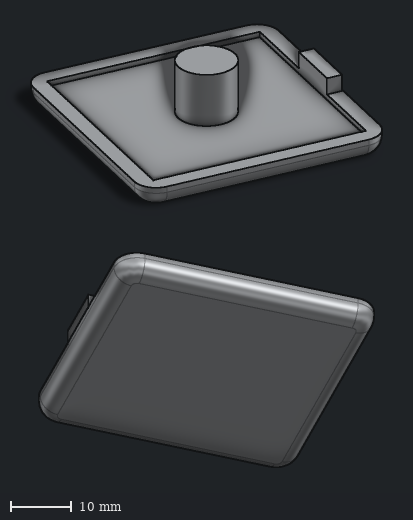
import cadquery as cq

plate_side = 45.0
plate_thickness = 4.0
corner_radius = 4.0
straight_edge_height = 1.0
lower_edge_radius = plate_thickness - straight_edge_height

rim_width = 3.0
recess_side = plate_side - 2 * rim_width
recess_depth = 1.0
recess_floor_z = plate_thickness - recess_depth

overall_height = 12.5
post_diameter = 10.4
post_height = overall_height - recess_floor_z

tab_width = post_diameter
tab_height = 3.0
tab_setback = 0.2
tab_depth = rim_width - tab_setback
tab_center_y = recess_side / 2 + tab_depth / 2


def make_plate():
    blank = (
        cq.Workplane("XY")
        .rect(plate_side, plate_side)
        .extrude(plate_thickness)
        .edges("|Z")
        .fillet(corner_radius)
    )
    return blank.faces("<Z").edges().fillet(lower_edge_radius)


def make_recess():
    return (
        cq.Workplane("XY")
        .workplane(offset=recess_floor_z)
        .rect(recess_side, recess_side)
        .extrude(recess_depth)
    )


def make_post():
    return (
        cq.Workplane("XY")
        .workplane(offset=recess_floor_z)
        .circle(post_diameter / 2)
        .extrude(post_height)
    )


def make_tab():
    return (
        cq.Workplane("XY")
        .workplane(offset=plate_thickness)
        .center(0, tab_center_y)
        .rect(tab_width, tab_depth)
        .extrude(tab_height)
    )


result = make_plate().cut(make_recess()).union(make_post()).union(make_tab())